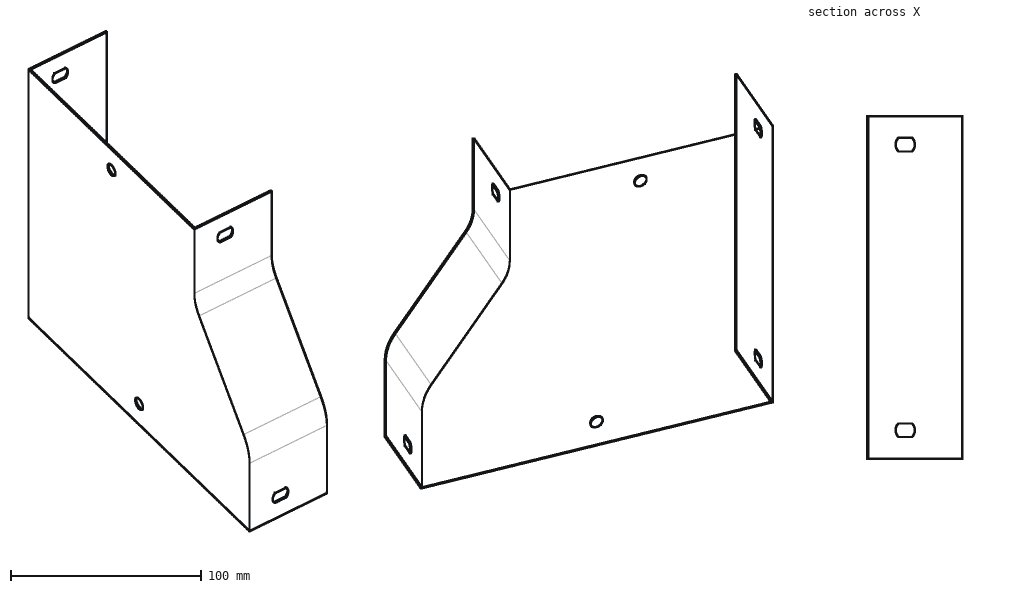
import cadquery as cq

length = 200.0
depth = 50.0
height = 180.0
narrow_length = 150.0
thickness = 0.8

slope_bottom = 58.5
slope_top = 126.5
outer_bend_radius = 28.0
inner_bend_radius = 22.0

hole_diameter = 7.0
hole_inset = 15.0
slot_length = 10.0
slot_width = 7.0
slot_center_y = 20.0

hole_heights = (hole_inset, height - hole_inset)
hole_positions = [
    (length / 2, hole_inset),
    (narrow_length / 2, height - hole_inset),
]


def extrude_back(sketch):
    """Extrude an XZ sketch from Y = 0 to the full depth."""
    return sketch.extrude(-depth)


def make_envelope():
    """Solid block with the outline of the web and rounded bends on the slope."""
    block = extrude_back(
        cq.Workplane("XZ").polyline([
            (0, 0),
            (length, 0),
            (length, slope_bottom),
            (narrow_length, slope_top),
            (narrow_length, height),
            (0, height),
        ]).close()
    )
    block = block.edges(cq.selectors.NearestToPointSelector((length, depth / 2, slope_bottom)))
    block = block.fillet(outer_bend_radius)
    bend = cq.selectors.NearestToPointSelector((narrow_length, depth / 2, slope_top))
    return block.edges(bend).fillet(inner_bend_radius)


def make_channel():
    """Keep the web and the two side flanges, leaving the back and both ends open."""
    open_faces = "<Z or >Z or >Y"
    return make_envelope().faces(open_faces).shell(-thickness)


def make_web_holes():
    return extrude_back(
        cq.Workplane("XZ").pushPoints(hole_positions).circle(hole_diameter / 2)
    )


def make_flange_slots():
    """Round holes trimmed flat above and below, running through both flanges."""
    centers = [(slot_center_y, z) for z in hole_heights]
    rounds = cq.Workplane("YZ").pushPoints(centers).circle(slot_length / 2).extrude(length)
    bands = cq.Workplane("YZ").pushPoints(centers).rect(slot_length, slot_width).extrude(length)
    return rounds.intersect(bands)


result = make_channel().cut(make_web_holes()).cut(make_flange_slots())